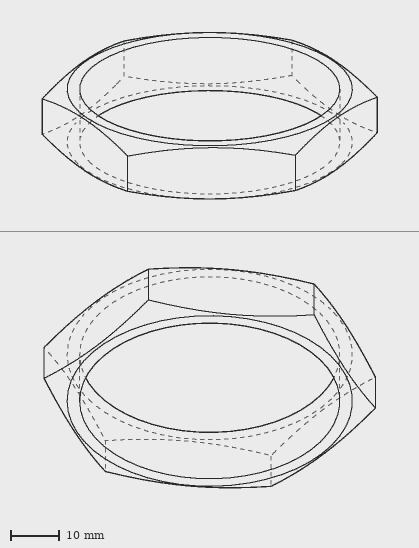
import cadquery as cq

across_corners = 69.3
height = 12.0
bore_diameter = 53.75
face_diameter = 58.95
chamfer_drop = 2.0

corner_radius = across_corners / 2
face_radius = face_diameter / 2


def hexagon_body():
    """Hexagonal prism with two corners on the Y axis, centred on the origin."""
    return (
        cq.Workplane("XY")
        .polygon(6, across_corners)
        .extrude(height / 2, both=True)
        .rotate((0, 0, 0), (0, 0, 1), 90)
    )


def chamfer_envelope():
    """Turned disc whose conical ends trim the hexagon corners."""
    half_height = height / 2
    edge_height = half_height - chamfer_drop
    return (
        cq.Workplane("XZ")
        .moveTo(0, -half_height)
        .lineTo(face_radius, -half_height)
        .lineTo(corner_radius, -edge_height)
        .lineTo(corner_radius, edge_height)
        .lineTo(face_radius, half_height)
        .lineTo(0, half_height)
        .close()
        .revolve(360, (0, 0, 0), (0, 1, 0))
    )


def bore():
    """Through bore along Z."""
    return cq.Workplane("XY").circle(bore_diameter / 2).extrude(height, both=True)


result = hexagon_body().intersect(chamfer_envelope()).cut(bore())